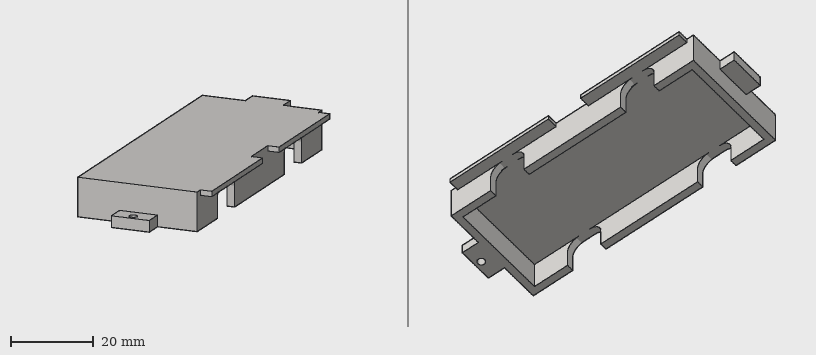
import cadquery as cq

body_width = 31.5
body_length = 75.5
body_height = 10.0
wall = 2.0
roof = 1.4

arch_width = 10.4
arch_radius = 3.5
arch_end_distance = 12.3

lip_depth = 3.0
lip_inset = 2.0
lip_gap = 10.0
lip_length = (body_length - lip_gap) / 2 - lip_inset

tab_width = 10.0
front_tab_start = 11.0
front_tab_length = 5.0
front_tab_height = 3.0
rear_tab_start = 11.3
rear_tab_length = 4.4
rear_tab_height = 3.3
hole_diameter = 2.0
hole_distance = 3.1


def block(x, y, z, width, length, height):
    """Box with its lowest corner at (x, y, z)."""
    return cq.Workplane("XY").box(width, length, height, centered=False).translate((x, y, z))


def make_shell():
    outer = block(0, 0, 0, body_width, body_length, body_height)
    cavity = block(
        wall, wall, 0, body_width - 2 * wall, body_length - 2 * wall, body_height - roof
    )
    return outer.cut(cavity)


def make_arch_cutter(y_start):
    """Round-topped opening that reaches up to the underside of the roof."""
    cutter = block(0, y_start, 0, body_width, arch_width, body_height - roof)
    return cutter.edges("|X and >Z").fillet(arch_radius)


def make_front_tab():
    tab = block(front_tab_start, -front_tab_length, 0, tab_width, front_tab_length, front_tab_height)
    hole = (
        cq.Workplane("XY")
        .center(front_tab_start + tab_width / 2, -hole_distance)
        .circle(hole_diameter / 2)
        .extrude(front_tab_height)
    )
    return tab.cut(hole)


def make_rear_tab():
    return block(
        rear_tab_start, body_length, body_height - rear_tab_height,
        tab_width, rear_tab_length, rear_tab_height,
    )


result = make_shell()
for arch_start in (arch_end_distance, body_length - arch_end_distance - arch_width):
    result = result.cut(make_arch_cutter(arch_start))
for lip_start in (lip_inset, body_length - lip_inset - lip_length):
    result = result.union(
        block(body_width, lip_start, body_height - roof, lip_depth, lip_length, roof)
    )
result = result.union(make_front_tab()).union(make_rear_tab())